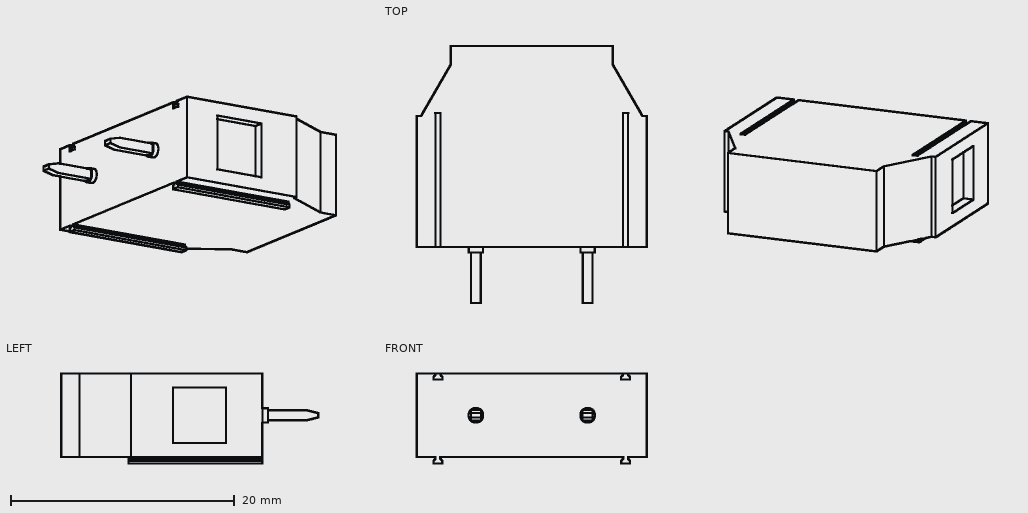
import cadquery as cq
import math

BODY_WIDTH = 20.6
BODY_DEPTH = 18.0
BODY_HEIGHT = 7.5
SHOULDER_Y = 11.75
SHOULDER_LEDGE = 0.4
NOSE_WIDTH = 14.5
FLANK_ANGLE = 60.0

RAIL_OFFSET = 8.4
RAIL_LENGTH = 12.0
RAIL_HEIGHT = 0.57
RAIL_FOOT_WIDTH = 0.8
RAIL_FOOT_HEIGHT = 0.25
RAIL_NECK_WIDTH = 0.46
RAIL_NECK_HEIGHT = 0.15

POCKET_LENGTH = 4.75
POCKET_HEIGHT = 5.0
POCKET_FRONT_Y = 3.25
POCKET_DEPTH = 1.0

PIN_PITCH = 10.0
PIN_LENGTH = 5.0
PIN_SIZE = 0.9
PIN_TIP_LENGTH = 1.0
PIN_TIP_THICKNESS = 0.4
COLLAR_DIAMETER = 1.3
COLLAR_LENGTH = 0.5


def make_body():
    """Block with sloping flanks that narrow to a nose at the back."""
    half_body = BODY_WIDTH / 2
    half_shoulder = half_body - SHOULDER_LEDGE
    half_nose = NOSE_WIDTH / 2
    flank_run = half_shoulder - half_nose
    nose_y = SHOULDER_Y + flank_run * math.tan(math.radians(FLANK_ANGLE))
    right_side = [
        (half_body, 0),
        (half_body, SHOULDER_Y),
        (half_shoulder, SHOULDER_Y),
        (half_nose, nose_y),
        (half_nose, BODY_DEPTH),
    ]
    left_side = [(-x, y) for x, y in reversed(right_side)]
    return cq.Workplane("XY").polyline(right_side + left_side).close().extrude(BODY_HEIGHT)


def make_rail(x, base_z):
    """Undercut rail: wide straight foot, sloping shoulders and a narrow neck on top."""
    half_foot = RAIL_FOOT_WIDTH / 2
    half_neck = RAIL_NECK_WIDTH / 2
    neck_z = RAIL_HEIGHT - RAIL_NECK_HEIGHT
    right_side = [
        (half_foot, 0),
        (half_foot, RAIL_FOOT_HEIGHT),
        (half_neck, neck_z),
        (half_neck, RAIL_HEIGHT),
    ]
    left_side = [(-u, z) for u, z in reversed(right_side)]
    return (
        cq.Workplane("XZ", origin=(x, 0, base_z))
        .polyline(right_side + left_side)
        .close()
        .extrude(-RAIL_LENGTH)
    )


def make_pocket(side):
    """Cutter for the pocket in the side face at -X (side = -1) or +X (side = 1)."""
    centre_x = side * (BODY_WIDTH - POCKET_DEPTH) / 2
    centre_y = POCKET_FRONT_Y + POCKET_LENGTH / 2
    return cq.Workplane("XY").box(POCKET_DEPTH, POCKET_LENGTH, POCKET_HEIGHT).translate(
        (centre_x, centre_y, BODY_HEIGHT / 2)
    )


def make_pin(x):
    """Square pin with a round collar and a tip tapered above and below."""
    half_pin = PIN_SIZE / 2
    half_tip = PIN_TIP_THICKNESS / 2
    taper_y = PIN_TIP_LENGTH - PIN_LENGTH
    shank = (
        cq.Workplane("YZ", origin=(x - half_pin, 0, BODY_HEIGHT / 2))
        .polyline([
            (0, -half_pin),
            (taper_y, -half_pin),
            (-PIN_LENGTH, -half_tip),
            (-PIN_LENGTH, half_tip),
            (taper_y, half_pin),
            (0, half_pin),
        ])
        .close()
        .extrude(PIN_SIZE)
    )
    collar = (
        cq.Workplane("XZ", origin=(x, 0, BODY_HEIGHT / 2))
        .circle(COLLAR_DIAMETER / 2)
        .extrude(COLLAR_LENGTH)
    )
    return shank.union(collar)


result = make_body()
for side in (-1, 1):
    groove = make_rail(side * RAIL_OFFSET, BODY_HEIGHT - RAIL_HEIGHT)
    rail = make_rail(side * RAIL_OFFSET, -RAIL_HEIGHT)
    result = result.cut(groove).cut(make_pocket(side))
    result = result.union(rail).union(make_pin(side * PIN_PITCH / 2))